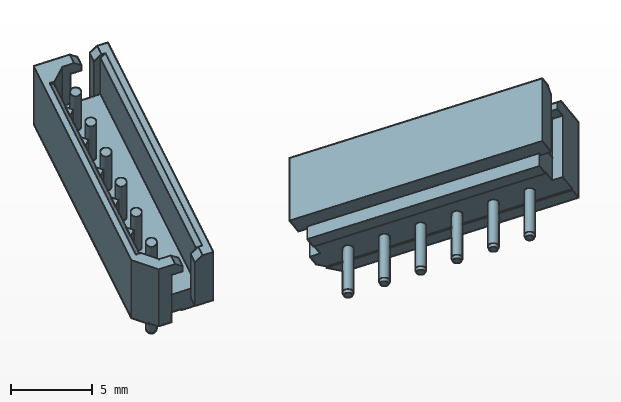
import cadquery as cq

LENGTH = 17.4
DEPTH = 4.9
HEIGHT = 5.88
TOTAL_HEIGHT = 9.4
END_WALL = 0.71

COLUMN_DEPTH = 2.15
HOOK_TIP_Y = 2.89
HOOK_HEIGHT = 1.0
POST_FRONT_Y = 3.69
BEVEL_RUN = 0.5
BEVEL_DROP = 0.47
REAR_FACE_Y = 4.12
REAR_WALL_HEIGHT = 4.89
REAR_LEAD_IN = 0.33
BASE_DEPTH = 3.9
FLOOR_Z = HEIGHT - 3.98

FRONT_WALL = 0.75
FRONT_LEAD_IN = 0.33
INNER_CORNER = 0.87
OUTER_CORNER = 1.29

CHANNEL_FRONT_Y = 0.84
CHANNEL_REAR_Y = 3.06
CHANNEL_DEPTH = 0.1

RIB_REACH = 0.4
RIB_TOP_GAP = 0.47

PIN_COUNT = 6
PIN_ROW_SPAN = 12.5
PIN_PITCH = PIN_ROW_SPAN / (PIN_COUNT - 1)
PIN_DIAMETER = 0.7
PIN_Y = 1.8
PIN_TOP_GAP = 0.5
PIN_TIP_HEIGHT = 0.21
PIN_TIP_INSET = 0.09


def block(x0, x1, y0, y1, z0, z1):
    """Box given by its limits along each axis."""
    return cq.Workplane("XY").box(x1 - x0, y1 - y0, z1 - z0, centered=False).translate((x0, y0, z0))


def along_x(points, x0, x1):
    """Prism with a (Y, Z) outline running from x0 to x1."""
    return cq.Workplane("YZ").polyline(points).close().extrude(x1 - x0).translate((x0, 0, 0))


def end_walls(x0):
    """Hooked front column and bevelled rear post at one end."""
    x1 = x0 + END_WALL
    column = along_x(
        [
            (0, 0),
            (COLUMN_DEPTH, 0),
            (COLUMN_DEPTH, HEIGHT - HOOK_HEIGHT),
            (HOOK_TIP_Y, HEIGHT - HOOK_HEIGHT),
            (HOOK_TIP_Y, HEIGHT - BEVEL_DROP),
            (HOOK_TIP_Y - BEVEL_RUN, HEIGHT),
            (0, HEIGHT),
        ],
        x0,
        x1,
    )
    post = along_x(
        [
            (POST_FRONT_Y, HEIGHT - REAR_WALL_HEIGHT),
            (DEPTH, HEIGHT - REAR_WALL_HEIGHT),
            (DEPTH, HEIGHT),
            (POST_FRONT_Y + BEVEL_RUN, HEIGHT),
            (POST_FRONT_Y, HEIGHT - BEVEL_DROP),
        ],
        x0,
        x1,
    )
    return column.union(post)


def middle_section():
    """Floor, front wall and rear wall between the two ends."""
    wall_bottom = HEIGHT - REAR_WALL_HEIGHT
    return along_x(
        [
            (0, 0),
            (BASE_DEPTH, 0),
            (BASE_DEPTH, wall_bottom),
            (DEPTH, wall_bottom),
            (DEPTH, HEIGHT),
            (REAR_FACE_Y + REAR_LEAD_IN, HEIGHT),
            (REAR_FACE_Y, HEIGHT - REAR_LEAD_IN),
            (REAR_FACE_Y, FLOOR_Z),
            (FRONT_WALL, FLOOR_Z),
            (FRONT_WALL, HEIGHT),
            (0, HEIGHT),
        ],
        END_WALL,
        LENGTH - END_WALL,
    )


def inner_corner(wall_x, direction):
    """Diagonal fill between the front wall and an end wall."""
    outline = [
        (wall_x, FRONT_WALL),
        (wall_x + direction * INNER_CORNER, FRONT_WALL),
        (wall_x, FRONT_WALL + INNER_CORNER),
    ]
    return cq.Workplane("XY").polyline(outline).close().extrude(HEIGHT)


def front_lead_in():
    """Cutter for the sloped inner edge of the front wall."""
    outline = [
        (FRONT_WALL, HEIGHT),
        (FRONT_WALL - FRONT_LEAD_IN, HEIGHT),
        (FRONT_WALL, HEIGHT - FRONT_LEAD_IN),
    ]
    inset = END_WALL + INNER_CORNER
    return along_x(outline, inset, LENGTH - inset)


def rib(x):
    """Upright triangular rib on the inside of the front wall."""
    outline = [
        (x - RIB_REACH, FRONT_WALL),
        (x + RIB_REACH, FRONT_WALL),
        (x, FRONT_WALL + RIB_REACH),
    ]
    rib_height = HEIGHT - RIB_TOP_GAP - FLOOR_Z
    return cq.Workplane("XY", origin=(0, 0, FLOOR_Z)).polyline(outline).close().extrude(rib_height)


def pin(x):
    """Round pin with a tapered lower tip."""
    bottom = HEIGHT - TOTAL_HEIGHT
    top = HEIGHT - PIN_TOP_GAP
    radius = PIN_DIAMETER / 2
    outline = [
        (0, bottom),
        (radius - PIN_TIP_INSET, bottom),
        (radius, bottom + PIN_TIP_HEIGHT),
        (radius, top),
        (0, top),
    ]
    body = cq.Workplane("XZ").polyline(outline).close().revolve(360, (0, 0), (0, 1))
    return body.translate((x, PIN_Y, 0))


result = middle_section()
for end_x in (0, LENGTH - END_WALL):
    result = result.union(end_walls(end_x))
result = result.union(inner_corner(END_WALL, 1))
result = result.union(inner_corner(LENGTH - END_WALL, -1))
result = result.cut(front_lead_in())

corner_outline = [(LENGTH, 0), (LENGTH - OUTER_CORNER, 0), (LENGTH, OUTER_CORNER)]
result = result.cut(cq.Workplane("XY").polyline(corner_outline).close().extrude(HEIGHT))

result = result.cut(block(0, LENGTH, CHANNEL_FRONT_Y, CHANNEL_REAR_Y, 0, CHANNEL_DEPTH))

first_pin_x = (LENGTH - PIN_ROW_SPAN) / 2
for index in range(PIN_COUNT - 1):
    rib_x = first_pin_x + (index + 0.5) * PIN_PITCH
    result = result.union(rib(rib_x))
for index in range(PIN_COUNT):
    result = result.union(pin(first_pin_x + index * PIN_PITCH))